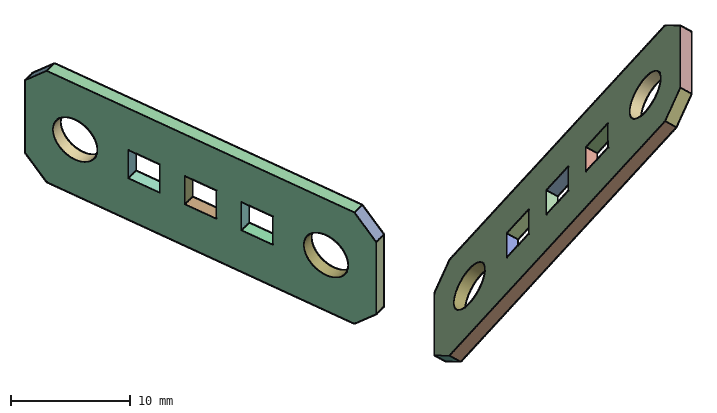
import cadquery as cq

length = 35.55
thickness = 1.17
height = 12.55
corner_chamfer = 2.2

hole_diameter = 4.48
hole_spacing = 25.4
hole_count = 2

window_side = 3.15
window_pitch = 5.73
window_count = 3

plate = (
    cq.Workplane("XY")
    .box(length, thickness, height)
    .edges("|Y")
    .chamfer(corner_chamfer)
)

back_face = cq.Workplane("XZ", origin=(0, thickness / 2, 0))

mounting_holes = (
    back_face
    .rarray(hole_spacing, 0.35, hole_count, 1)
    .circle(hole_diameter / 2)
    .extrude(thickness)
)

windows = (
    back_face
    .rarray(window_pitch, 0.35, window_count, 1)
    .rect(window_side, window_side)
    .extrude(thickness)
)

result = plate.cut(mounting_holes).cut(windows)